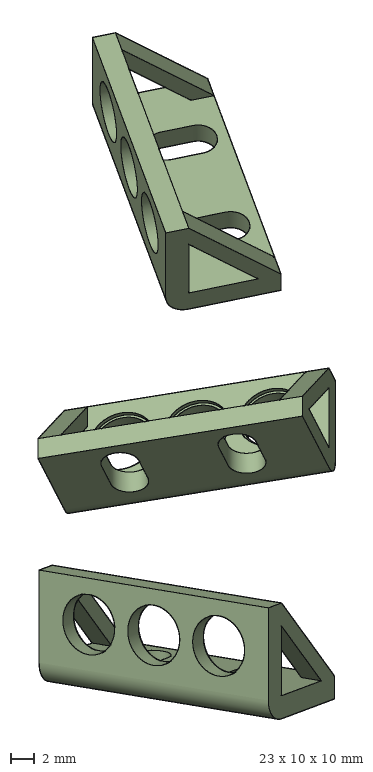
import cadquery as cq

length = 23.0
depth = 10.0
height = 10.0
thickness = 2.0

hole_diameter = 5.2
recess_diameter = 5.65
recess_depth = 0.4
hole_spacing = 6.5
hole_count = 3
hole_height = (thickness + height) / 2

slot_width = 3.22
slot_length = 6.0
slot_spacing = 10.2
slot_center_y = (thickness + depth) / 2


def make_angle():
    """L-shaped angle with a rounded outer bend along the front bottom edge."""
    base = cq.Workplane("XY").box(length, depth, thickness, centered=(True, False, False))
    wall = cq.Workplane("XY").box(length, thickness, height, centered=(True, False, False))
    return base.union(wall).edges("|X and <Y and <Z").fillet(thickness)


def make_brace(start_x):
    """Diagonal end brace running from the top of the wall to the back of the base."""
    return (
        cq.Workplane("YZ", origin=(start_x, 0, 0))
        .moveTo(thickness, height)
        .lineTo(depth, thickness)
        .lineTo(depth - thickness, thickness)
        .lineTo(thickness, height - thickness)
        .close()
        .extrude(thickness)
    )


def make_hole_row(diameter, start_y):
    """Row of cylinders running from start_y to the back face of the wall."""
    return (
        cq.Workplane("XZ", origin=(0, start_y, hole_height))
        .rarray(hole_spacing, 0.23, hole_count, 1)
        .circle(diameter / 2)
        .extrude(start_y - thickness)
    )


def make_slots():
    """Pair of slots through the base, long in Y."""
    return (
        cq.Workplane("XY", origin=(0, slot_center_y, 0))
        .rarray(slot_spacing, 0.23, 2, 1)
        .slot2D(slot_length, slot_width, 90)
        .extrude(thickness)
    )


result = make_angle()
for brace_start in (-length / 2, length / 2 - thickness):
    result = result.union(make_brace(brace_start))
result = result.cut(make_hole_row(hole_diameter, 0))
result = result.cut(make_hole_row(recess_diameter, thickness - recess_depth))
result = result.cut(make_slots())